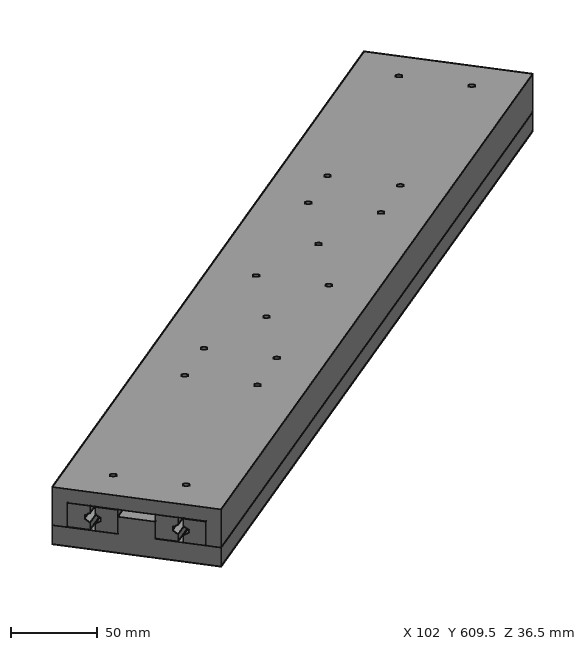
import cadquery as cq

length = 609.5
width = 102.0
height = 36.5

base_thickness = 12.0
boss_height = 11.0

side_wall = 9.0
rail_pair_width = 30.5
rail_slit = 3.0
rail_height = 15.0
rail_clearance = 0.3
groove_mouth = 6.0
groove_depth = 3.35
groove_floor = 2.0

hole_diameter = 3.95
hole_column_x = 22.0
end_row_y = 279.0
middle_row_y = 139.5
inner_row_y = 102.0
single_hole_y = inner_row_y / 2

base_bottom = -height / 2
base_top = base_bottom + base_thickness
channel_height = rail_height + rail_clearance
channel_width = width - 2 * side_wall
cover_height = height - base_thickness
boss_width = channel_width - 2 * rail_pair_width
rail_width = (rail_pair_width - rail_slit) / 2
pair_center_x = (boss_width + rail_pair_width) / 2


def bar(bar_width, bar_height, bottom):
    """Full-length bar, centred on X, standing on the given height."""
    return (
        cq.Workplane("XY")
        .workplane(offset=bottom)
        .rect(bar_width, length)
        .extrude(bar_height)
    )


def make_base():
    """Flat plate with a raised boss between the rail pairs."""
    plate = bar(width, base_thickness, base_bottom)
    boss = bar(boss_width, boss_height, base_top)
    return plate.union(boss)


def hole_positions():
    """Pairs of holes in symmetric rows, plus two single holes on the centre line."""
    positions = [(0, single_hole_y), (0, -single_hole_y)]
    for x in (-hole_column_x, hole_column_x):
        positions.append((x, 0))
        for y in (inner_row_y, middle_row_y, end_row_y):
            positions.append((x, y))
            positions.append((x, -y))
    return positions


def make_cover():
    """Inverted U over the rails, with mounting holes through its roof."""
    body = bar(width, cover_height, base_top)
    channel = bar(channel_width, channel_height, base_top)
    holes = (
        cq.Workplane("XY")
        .workplane(offset=base_top)
        .pushPoints(hole_positions())
        .circle(hole_diameter / 2)
        .extrude(cover_height)
    )
    return body.cut(channel).cut(holes)


def make_rail(pair_x, side, bottom):
    """Rail on one side (-1 or +1) of its pair, with a V groove facing the slit."""
    face_x = pair_x + side * rail_slit / 2
    back_x = face_x + side * rail_width
    groove_x = face_x + side * groove_depth
    top = bottom + rail_height
    middle = bottom + rail_height / 2
    profile = [
        (back_x, bottom),
        (face_x, bottom),
        (face_x, middle - groove_mouth / 2),
        (groove_x, middle - groove_floor / 2),
        (groove_x, middle + groove_floor / 2),
        (face_x, middle + groove_mouth / 2),
        (face_x, top),
        (back_x, top),
    ]
    return (
        cq.Workplane("XZ")
        .polyline(profile)
        .close()
        .extrude(length / 2, both=True)
    )


base = make_base()
cover = make_cover()

rails = []
for pair_x in (-pair_center_x, pair_center_x):
    rails.append(make_rail(pair_x, -1, base_top + rail_clearance))
    rails.append(make_rail(pair_x, 1, base_top))

result = cq.Compound.makeCompound([base.val(), cover.val(), *[rail.val() for rail in rails]])